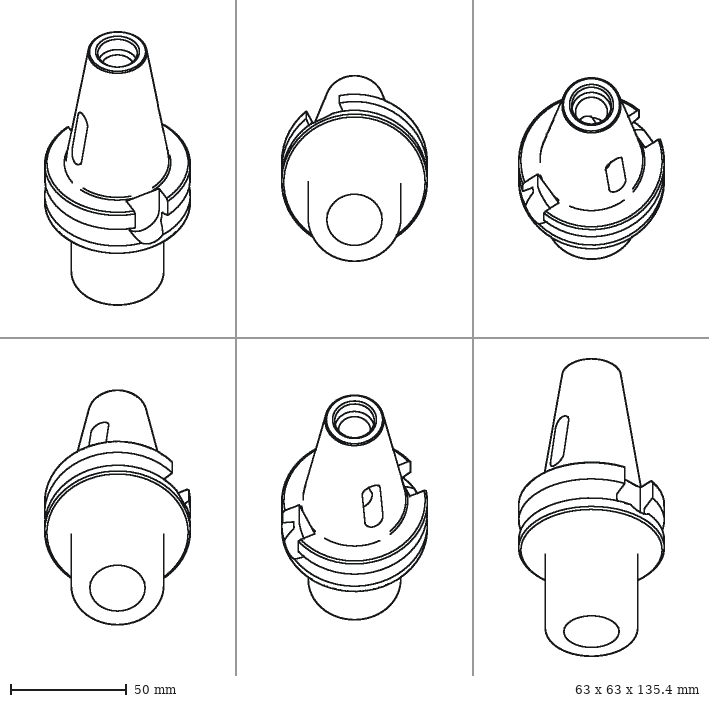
import cadquery as cq
import math


total_height = 135.4
flange_bottom_z = 43.0
flange_height = 24.9
flange_top_z = flange_bottom_z + flange_height
gauge_z = 70.0

body_radius = 20.0
body_fillet = 2.0

gauge_radius = 22.2
taper_ratio = 7 / 24
top_radius = gauge_radius - (total_height - gauge_z) * taper_ratio / 2
top_chamfer = 0.5
neck_fillet = 0.8

flange_diameter = 63.0
flange_radius = flange_diameter / 2
flange_chamfer = 1.0
groove_floor_radius = 26.4
groove_fillet = 1.0
groove_floor_width = 4.2
groove_center_z = 53.5
groove_flank_rise = (flange_radius - groove_floor_radius) * math.tan(math.radians(30))

drive_slot_width = 16.1
drive_slot_depth = 21.4
drive_slot_floor_x = 22.6

drift_width = 8.5
drift_bottom_z = 78.0
drift_height = 27.2

counterbore_radius = 8.5
counterbore_depth = 7.2
mouth_chamfer = 1.0
thread_radius = 6.9
thread_bottom_z = 102.1
drill_tip_angle = 118

socket_mouth_radius = 11.9
socket_end_radius = 9.7
socket_depth = 84.0


def revolve_about_axis(outline):
    """Turn a closed (radius, Z) outline about the Z axis."""
    return outline.close().revolve(360, (0, 0, 0), (0, 1, 0))


def turned_body():
    floor_bottom = groove_center_z - groove_floor_width / 2
    floor_top = groove_center_z + groove_floor_width / 2
    flange_edge = flange_radius - flange_chamfer
    fillet_offset = body_fillet * (1 - math.sqrt(0.5))
    neck_offset = neck_fillet * (1 - math.sqrt(0.5))
    outline = (
        cq.Workplane("XZ")
        .lineTo(body_radius - body_fillet, 0)
        .threePointArc((body_radius - fillet_offset, fillet_offset), (body_radius, body_fillet))
        .lineTo(body_radius, flange_bottom_z - body_fillet)
        .threePointArc(
            (body_radius + fillet_offset, flange_bottom_z - fillet_offset),
            (body_radius + body_fillet, flange_bottom_z),
        )
        .lineTo(flange_edge, flange_bottom_z)
        .lineTo(flange_radius, flange_bottom_z + flange_chamfer)
        .lineTo(flange_radius, floor_bottom - groove_flank_rise)
        .lineTo(groove_floor_radius, floor_bottom)
        .lineTo(groove_floor_radius, floor_top)
        .lineTo(flange_radius, floor_top + groove_flank_rise)
        .lineTo(flange_radius, flange_top_z - flange_chamfer)
        .lineTo(flange_edge, flange_top_z)
        .lineTo(gauge_radius + neck_fillet, flange_top_z)
        .threePointArc(
            (gauge_radius + neck_offset, flange_top_z + neck_offset),
            (gauge_radius, flange_top_z + neck_fillet),
        )
        .lineTo(gauge_radius, gauge_z)
        .lineTo(top_radius + top_chamfer * taper_ratio / 2, total_height - top_chamfer)
        .lineTo(top_radius - top_chamfer, total_height)
        .lineTo(0, total_height)
    )
    body = revolve_about_axis(outline)
    selection_margin = 0.1
    corner_radius = groove_floor_radius + selection_margin
    corners = cq.selectors.BoxSelector(
        (-corner_radius, -corner_radius, floor_bottom - selection_margin),
        (corner_radius, corner_radius, floor_top + selection_margin),
        boundingbox=True,
    )
    groove_corners = body.edges("%CIRCLE").edges(corners)
    return groove_corners.fillet(groove_fillet)


def draw_bar_hole():
    shoulder_z = total_height - counterbore_depth
    tip_height = thread_radius / math.tan(math.radians(drill_tip_angle / 2))
    outline = (
        cq.Workplane("XZ")
        .moveTo(0, thread_bottom_z - tip_height)
        .lineTo(thread_radius, thread_bottom_z)
        .lineTo(thread_radius, shoulder_z - (counterbore_radius - thread_radius))
        .lineTo(counterbore_radius, shoulder_z)
        .lineTo(counterbore_radius, total_height - mouth_chamfer)
        .lineTo(counterbore_radius + mouth_chamfer, total_height)
        .lineTo(0, total_height)
    )
    return revolve_about_axis(outline)


def morse_socket():
    outline = (
        cq.Workplane("XZ")
        .lineTo(socket_mouth_radius, 0)
        .lineTo(socket_end_radius, socket_depth)
        .lineTo(0, socket_depth)
    )
    return revolve_about_axis(outline)


def drift_slot():
    return (
        cq.Workplane("XZ")
        .center(0, drift_bottom_z + drift_height / 2)
        .slot2D(drift_height, drift_width, 90)
        .extrude(gauge_radius, both=True)
    )


def drive_slot(side):
    """Round-bottomed key slot, cut up through the neck fillet; side is +1 or -1 along X."""
    half_width = drive_slot_width / 2
    slot_bottom_z = flange_top_z - drive_slot_depth
    slot_top_z = flange_top_z + neck_fillet
    return (
        cq.Workplane("YZ", origin=(side * drive_slot_floor_x, 0, 0))
        .moveTo(-half_width, slot_top_z)
        .lineTo(-half_width, slot_bottom_z + half_width)
        .threePointArc((0, slot_bottom_z), (half_width, slot_bottom_z + half_width))
        .lineTo(half_width, slot_top_z)
        .close()
        .extrude(side * flange_radius)
    )


result = turned_body().cut(draw_bar_hole()).cut(morse_socket()).cut(drift_slot())
for side in (-1, 1):
    result = result.cut(drive_slot(side))